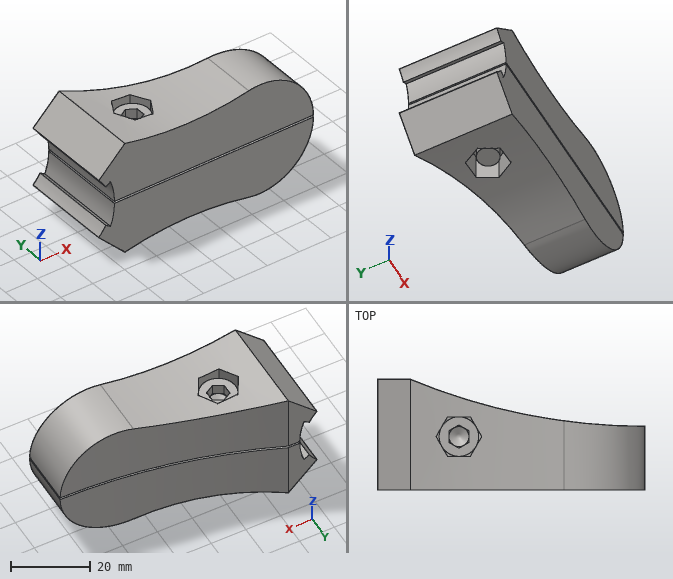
import cadquery as cq
import math

length = 67.5
width = 28.0
height = 34.0
gap = 0.6
end_radius = height / 2
end_center_x = length - end_radius

jaw_tip_z = 8.9
jaw_corner_x = 8.25
lip_middle = (1.2, 7.5)
lip_end = (2.2, 6.0)
groove_start = (3.7, 6.95)
groove_middle = (4.65, 3.65)
groove_bottom_x = 4.9

waist_middle = (28.7, 14.7)
waist_end_x = 47.1

narrow_width = 16.1

screw_x = 20.5
screw_y = 13.5
head_diameter = 10.0
head_height = 6.0
head_top_z = 12.7
shank_diameter = 6.0
key_across_flats = 5.05
key_depth = 3.0
key_tip_depth = 1.5
pocket_floor_z = head_top_z - head_height


def hexagon_diameter(across_flats):
    """Corner-to-corner size of a regular hexagon."""
    return across_flats / math.cos(math.radians(30))


def screw_plane(z):
    """Horizontal workplane centred on the screw axis."""
    return cq.Workplane("XY", origin=(screw_x, screw_y, z))


def half_profile():
    """Upper half seen along Y, extruded over the full width."""
    inner_z = gap / 2
    inner_end_x = end_center_x + math.sqrt(end_radius**2 - inner_z**2)
    waist_end_z = math.sqrt(end_radius**2 - (waist_end_x - end_center_x)**2)
    arc_offset = end_radius * math.sin(math.radians(45))
    return (
        cq.Workplane("XZ")
        .moveTo(0, jaw_tip_z)
        .lineTo(jaw_corner_x, height / 2)
        .threePointArc(waist_middle, (waist_end_x, waist_end_z))
        .threePointArc((end_center_x + arc_offset, arc_offset), (inner_end_x, inner_z))
        .lineTo(groove_bottom_x, inner_z)
        .threePointArc(groove_middle, groove_start)
        .lineTo(*lip_end)
        .threePointArc(lip_middle, (0, jaw_tip_z))
        .close()
        .extrude(-width)
    )


def plan_profile():
    """Outline seen along Z, with the concave back arc level at the rounded end."""
    run = length - jaw_corner_x
    drop = width - narrow_width
    back_radius = (run**2 + drop**2) / (2 * drop)
    middle_x = (jaw_corner_x + length) / 2
    middle_y = narrow_width + back_radius - math.sqrt(back_radius**2 - (length - middle_x)**2)
    return (
        cq.Workplane("XY")
        .lineTo(length, 0)
        .lineTo(length, narrow_width)
        .threePointArc((middle_x, middle_y), (jaw_corner_x, width))
        .lineTo(0, width)
        .close()
        .extrude(height / 2)
    )


def make_upper_half():
    """Clamp half with a screw hole and a hexagonal pocket open to the outside."""
    pocket = (
        screw_plane(pocket_floor_z)
        .polygon(6, hexagon_diameter(head_diameter))
        .extrude(height / 2 - pocket_floor_z)
    )
    hole = screw_plane(0).circle(shank_diameter / 2).extrude(pocket_floor_z)
    return half_profile().intersect(plan_profile()).cut(pocket).cut(hole)


def make_key_socket():
    """Hexagonal key recess with a conical bottom, corners along Y."""
    corner_diameter = hexagon_diameter(key_across_flats)
    hexagon = (
        screw_plane(head_top_z)
        .transformed(rotate=(0, 0, 30))
        .polygon(6, corner_diameter)
        .extrude(-key_depth)
    )
    cone = cq.Workplane(
        cq.Solid.makeCone(
            key_across_flats / 2,
            0,
            key_tip_depth,
            pnt=cq.Vector(screw_x, screw_y, head_top_z - key_depth),
            dir=cq.Vector(0, 0, -1),
        )
    )
    return hexagon.union(cone)


def make_screw():
    """Socket head screw, its shank reaching as far below the gap as its head above."""
    head = screw_plane(pocket_floor_z).circle(head_diameter / 2).extrude(head_height)
    shank = (
        screw_plane(-head_top_z)
        .circle(shank_diameter / 2)
        .extrude(head_top_z + pocket_floor_z)
    )
    return head.union(shank).cut(make_key_socket())


upper_half = make_upper_half()
lower_half = upper_half.mirror("XY")
screw = make_screw()

result = cq.Compound.makeCompound([upper_half.val(), lower_half.val(), screw.val()])